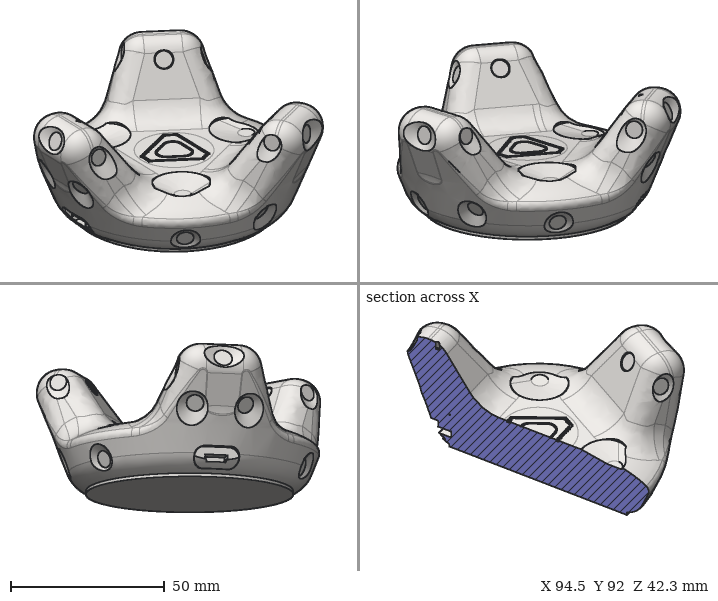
import cadquery as cq
import math

HEIGHT = 42.3

WALL_BASE_RADIUS = 37.1
WALL_FLARE = 0.395
WALL_TANGENT_Z = 6.9
WALL_HEADROOM = 1.0
PLATE_RADIUS = 33.8
PLATE_THICKNESS = 0.5

DECK_Z = 20.5
DECK_FLAT_RADIUS = 13.0
DECK_SLOPE_POINT = (33.0, 19.1)
SHOULDER_POINT = (41.7, 15.2)
DECK_RIM_POINT = (50.0, -1.0)
DECK_RIM_DIRECTION = (0.3, -1)
DECK_SLAB_DEPTH = 10
DECK_RIM = DECK_RIM_POINT[0]

ARM_COUNT = 3
FRONT = -90
ARM_ANGLES = [FRONT + i * 360 / ARM_COUNT for i in range(ARM_COUNT)]
ARM_ROUND = 7.8
ARM_RIDGE_INNER = 41.0
ARM_RIDGE_OUTER = 42.0
ARM_RIDGE_HALF_WIDTH = 6.3
ARM_OUTWARD_TAPER = 0.1
ARM_FOOT_Z = 10.0
ARM_INNER_SLOPE = 0.695
ARM_SIDE_SLOPE = 0.30
ARM_BLEND_RADIUS = 13.5
SEAM_CLEARANCE = 0.001
SHOULDER_RADIUS = 2.5
SHOULDER_BOTTOM_Z = 9.0
SHOULDER_TOP_Z = 31.0
ON_WALL_TOLERANCE = 0.02

FLOOR_RADIUS = 2.8
TIP_DIMPLE_REACH = 47.4
TIP_FLOOR_RADIUS = 3.0
TIP_HALF_ANGLE = 63
DIMPLE_HALF_ANGLE = 58
DIMPLE_LENGTH = 4.0
WALL_DIMPLE_DEPTH = 1.65
FRONT_TIP = (37.0, 26)
REAR_TIP = (35.8, 8)
FRONT_FLANK = (39.6, 13.3, 34.2, 10)
REAR_FORWARD_FLANK = (40.8, 12.7, 37.0, 10)
REAR_BACKWARD_FLANK = (38.2, 13.5, 34.5, 20)
INNER_DIMPLE_REACH = 33.5
INNER_DIMPLE_Z = 36.9
INNER_TILT = 35
INNER_FLOOR_RADIUS = 2.9
INNER_HALF_ANGLE = 45
WALL_DIMPLES = (
    (11, 22.4, 7, -29),
    (60, 7.0, 0, -20),
    (100, 11.4, 7, -29),
    (137, 7.8, 0, -24),
)
DECK_DIMPLE_REACH = 28.9
DECK_DIMPLE_FLOOR_Z = 18.6
DECK_MOUTH_REACH = 24.8
DECK_MOUTH_WIDE = 19.0
DECK_MOUTH_DEEP = 16.6

BUTTON_FLAT = 7.87
BUTTON_CORNER = 11.7
BUTTON_GROOVE_WIDTH = 0.9
BUTTON_GROOVE_DEPTH = 0.5
GROOVE_CUT_HEIGHT = 1.0
BADGE_CORNER_REACH = 3.2
BADGE_CORNER_RADIUS = 3.4
BADGE_GROOVE_WIDTH = 0.45
BADGE_GROOVE_DEPTH = 0.2

RECESS_WIDTH = 15.1
RECESS_BOTTOM_Z = 2.3
RECESS_TOP_Z = 9.1
RECESS_CORNER = 3.3
RECESS_INSET = 0.5
RECESS_FLOOR_Y = -38.1
PORT_BOTTOM_Z = 4.3
PORT_MID_Z = 5.6
PORT_TOP_Z = 6.6
PORT_TOP_WIDTH = 7.6
PORT_BOTTOM_WIDTH = 6.3
PORT_DEPTH = 5.0

INDICATOR_RADIUS = 38.2
INDICATOR_DIAMETER = 1.3
INDICATOR_DEPTH = 3.0


def wall_radius(z):
    return WALL_BASE_RADIUS + WALL_FLARE * z


def polar(radius, degrees):
    return radius * math.cos(math.radians(degrees)), radius * math.sin(math.radians(degrees))


def turned(shape, degrees):
    return shape.rotate((0, 0, 0), (0, 0, 1), degrees)


def revolved(profile):
    return profile.close().revolve(360, (0, 0, 0), (0, 1, 0))


def flared_cone(inset=0):
    """Flared cone with a rounded lower edge; inset shrinks it all round."""
    lean = math.atan(WALL_FLARE)
    edge_run = (WALL_TANGENT_Z - PLATE_THICKNESS) / math.cos(lean)
    edge_radius = edge_run * math.tan(math.pi / 4 + lean / 2)
    centre_r = wall_radius(PLATE_THICKNESS) - edge_run
    centre_z = PLATE_THICKNESS + edge_radius
    arc_radius = edge_radius - inset
    mid_drop = math.pi / 4 - lean / 2
    start = (centre_r, centre_z - arc_radius)
    middle = (
        centre_r + arc_radius * math.cos(mid_drop),
        centre_z - arc_radius * math.sin(mid_drop),
    )
    end = (centre_r + arc_radius * math.cos(lean), centre_z - arc_radius * math.sin(lean))
    top = HEIGHT + WALL_HEADROOM
    return revolved(
        cq.Workplane("XZ")
        .moveTo(0, start[1])
        .lineTo(*start)
        .threePointArc(middle, end)
        .lineTo(end[0] + WALL_FLARE * (top - end[1]), top)
        .lineTo(0, top)
    )


def deck():
    """Oversized domed slab whose rim lies outside the wall."""
    slab_bottom = DECK_RIM_POINT[1] - DECK_SLAB_DEPTH
    return revolved(
        cq.Workplane("XZ")
        .moveTo(0, slab_bottom)
        .lineTo(0, DECK_Z)
        .lineTo(DECK_FLAT_RADIUS, DECK_Z)
        .spline(
            [DECK_SLOPE_POINT, SHOULDER_POINT, DECK_RIM_POINT],
            tangents=[(1, 0), DECK_RIM_DIRECTION],
            includeCurrent=True,
        )
        .lineTo(DECK_RIM, slab_bottom)
    )


def arm():
    """Upright arm reaching along +X."""
    drop = HEIGHT - ARM_ROUND - ARM_FOOT_Z

    def section(below_ridge):
        inner = ARM_RIDGE_INNER - ARM_INNER_SLOPE * below_ridge
        outer = ARM_RIDGE_OUTER - WALL_FLARE * below_ridge
        mid_half_width = ARM_RIDGE_HALF_WIDTH + ARM_SIDE_SLOPE * below_ridge
        inner_half_width = mid_half_width + ARM_OUTWARD_TAPER * (ARM_RIDGE_INNER - inner)
        outer_half_width = mid_half_width + ARM_OUTWARD_TAPER * (ARM_RIDGE_INNER - outer)
        return [
            (inner, -inner_half_width),
            (outer, -outer_half_width),
            (outer, outer_half_width),
            (inner, inner_half_width),
        ]

    core = (
        cq.Workplane("XY", origin=(0, 0, ARM_FOOT_Z))
        .polyline(section(drop))
        .close()
        .workplane(offset=drop)
        .polyline(section(0))
        .close()
        .loft(ruled=True)
    )
    skin = core.val().shell([], ARM_ROUND)
    return core.union(cq.Workplane(skin))


def on_shoulder(edge):
    """True for an edge that runs along the wall where the deck and the arm flanks meet it."""
    box = edge.BoundingBox()
    if box.zmin < SHOULDER_BOTTOM_Z or box.zmax > SHOULDER_TOP_Z:
        return False
    points = [edge.positionAt(i / 3) for i in range(4)]
    return all(abs(math.hypot(p.x, p.y) - wall_radius(p.z)) < ON_WALL_TOLERANCE for p in points)


def body():
    """Deck and arms blended together, trimmed by the flared wall and set on the plate."""
    upright = arm()
    shape = deck()
    for angle in ARM_ANGLES:
        shape = shape.union(turned(upright, angle))
    reach = DECK_RIM - SEAM_CLEARANCE
    junction_zone = cq.selectors.BoxSelector(
        (-reach, -reach, 0), (reach, reach, DECK_Z - SEAM_CLEARANCE), boundingbox=True
    )
    shape = shape.edges(junction_zone).fillet(ARM_BLEND_RADIUS)
    plate = cq.Workplane("XY").circle(PLATE_RADIUS).extrude(WALL_TANGENT_Z)
    shape = shape.intersect(flared_cone().union(plate))
    shoulder = shape.edges().filter(on_shoulder)
    return shoulder.fillet(SHOULDER_RADIUS)


def dimple(
    centre,
    facing,
    tilt,
    floor_radius=FLOOR_RADIUS,
    half_angle=DIMPLE_HALF_ANGLE,
    length=DIMPLE_LENGTH,
):
    """Conical cutter from a floor centre (radius, angle, z), facing and tilted up in degrees."""
    radius, angle, z = centre
    level, rise = polar(1, tilt)
    mouth_radius = floor_radius + length * math.tan(math.radians(half_angle))
    cone = cq.Solid.makeCone(
        floor_radius,
        mouth_radius,
        length,
        cq.Vector(*polar(radius, angle), z),
        cq.Vector(*polar(level, facing), rise),
    )
    return cq.Workplane(cone)


def flank_dimple(arm_angle, side, along, across, z, tilt):
    """Dimple on one flank of an arm: along the arm's reach, then across to its side."""
    radius = math.hypot(along, across)
    angle = arm_angle + side * math.degrees(math.atan2(across, along))
    return dimple((radius, angle, z), arm_angle + 90 * side, tilt, half_angle=TIP_HALF_ANGLE)


def tip_dimple(arm_angle, z, tilt):
    """Dimple on the outer side of an arm tip."""
    centre = (TIP_DIMPLE_REACH, arm_angle, z)
    return dimple(centre, arm_angle, tilt, TIP_FLOOR_RADIUS, TIP_HALF_ANGLE)


def inner_dimple(arm_angle):
    """Dimple on the side of an arm that looks over the deck."""
    centre = (INNER_DIMPLE_REACH, arm_angle, INNER_DIMPLE_Z)
    return dimple(centre, arm_angle + 180, INNER_TILT, INNER_FLOOR_RADIUS, INNER_HALF_ANGLE)


def arm_dimples():
    """Dimples on the tips and flanks; the two rear arms also carry one on the inner side."""
    front, *rear = ARM_ANGLES
    cutters = [tip_dimple(front, *FRONT_TIP)]
    for side in (-1, 1):
        cutters.append(flank_dimple(front, side, *FRONT_FLANK))
    for angle in rear:
        forward = -1 if math.cos(math.radians(angle)) > 0 else 1
        cutters.append(tip_dimple(angle, *REAR_TIP))
        cutters.append(flank_dimple(angle, forward, *REAR_FORWARD_FLANK))
        cutters.append(flank_dimple(angle, -forward, *REAR_BACKWARD_FLANK))
        cutters.append(inner_dimple(angle))
    return cutters


def deck_dimples():
    """Wide shallow dimples in the deck, one opposite each arm, sloping up towards the middle."""
    depth = DECK_Z - DECK_DIMPLE_FLOOR_Z
    bowl = (
        cq.Workplane("XY", origin=(DECK_DIMPLE_REACH, 0, DECK_DIMPLE_FLOOR_Z))
        .circle(FLOOR_RADIUS)
        .workplane(offset=depth)
        .center(DECK_MOUTH_REACH - DECK_DIMPLE_REACH, 0)
        .ellipse(DECK_MOUTH_DEEP / 2, DECK_MOUTH_WIDE / 2)
        .loft(ruled=True)
    )
    bank = (
        cq.Workplane("XY", origin=(DECK_MOUTH_REACH, 0, DECK_Z))
        .ellipse(DECK_MOUTH_DEEP / 2, DECK_MOUTH_WIDE / 2)
        .extrude(DIMPLE_LENGTH)
    )
    return [turned(bowl.union(bank), angle + 180) for angle in ARM_ANGLES]


def wall_dimples():
    """Mirrored pairs round the wall, facing slightly down."""
    cutters = []
    for side in (-1, 1):
        for away, z, turn, tilt in WALL_DIMPLES:
            angle = FRONT + side * away
            centre = (wall_radius(z) - WALL_DIMPLE_DEPTH, angle, z)
            cutters.append(dimple(centre, angle + side * turn, tilt))
    return cutters


def button_grooves():
    """Groove round a triangle with cut corners, and a finer rounded one inside it."""

    def cut_triangle(inset):
        flat = BUTTON_FLAT - inset
        corner = BUTTON_CORNER - inset
        half_cut = (2 * flat - corner) / math.sqrt(3)
        points = []
        for angle in ARM_ANGLES:
            x, y = polar(corner, angle)
            dx, dy = polar(half_cut, angle + 90)
            points += [(x - dx, y - dy), (x + dx, y + dy)]
        plane = cq.Workplane("XY", origin=(0, 0, DECK_Z - BUTTON_GROOVE_DEPTH))
        return plane.polyline(points).close()

    def badge(inset):
        corners = [polar(BADGE_CORNER_REACH, angle) for angle in ARM_ANGLES]
        plane = cq.Workplane("XY", origin=(0, 0, DECK_Z - BADGE_GROOVE_DEPTH))
        return plane.polyline(corners).close().offset2D(BADGE_CORNER_RADIUS - inset)

    def groove(outline, width):
        outer = outline(0).extrude(GROOVE_CUT_HEIGHT)
        return outer.cut(outline(width).extrude(GROOVE_CUT_HEIGHT))

    return [groove(cut_triangle, BUTTON_GROOVE_WIDTH), groove(badge, BADGE_GROOVE_WIDTH)]


def connector_recess():
    """Shallow rounded recess following the wall, with a flat upper floor and a port."""
    slot_height = RECESS_TOP_Z - RECESS_BOTTOM_Z
    mid_z = (RECESS_TOP_Z + RECESS_BOTTOM_Z) / 2
    slot = (
        cq.Workplane("XZ", origin=(0, 0, mid_z))
        .rect(RECESS_WIDTH, slot_height)
        .extrude(DECK_RIM)
        .edges("|Y")
        .fillet(RECESS_CORNER)
    )
    below_wall = slot.cut(flared_cone(RECESS_INSET))
    beyond_floor = slot.intersect(
        cq.Workplane("XZ", origin=(0, RECESS_FLOOR_Y, mid_z))
        .rect(RECESS_WIDTH, slot_height)
        .extrude(DECK_RIM)
    )
    port = (
        cq.Workplane("XZ", origin=(0, RECESS_FLOOR_Y + PORT_DEPTH, 0))
        .polyline(
            [
                (-PORT_BOTTOM_WIDTH / 2, PORT_BOTTOM_Z),
                (PORT_BOTTOM_WIDTH / 2, PORT_BOTTOM_Z),
                (PORT_TOP_WIDTH / 2, PORT_MID_Z),
                (PORT_TOP_WIDTH / 2, PORT_TOP_Z),
                (-PORT_TOP_WIDTH / 2, PORT_TOP_Z),
                (-PORT_TOP_WIDTH / 2, PORT_MID_Z),
            ]
        )
        .close()
        .extrude(DECK_RIM)
    )
    return [below_wall, beyond_floor, port]


def indicator_hole():
    centre = polar(INDICATOR_RADIUS, FRONT)
    return (
        cq.Workplane("XY", origin=(*centre, HEIGHT - INDICATOR_DEPTH))
        .circle(INDICATOR_DIAMETER / 2)
        .extrude(INDICATOR_DEPTH)
    )


cutters = arm_dimples() + deck_dimples() + wall_dimples()
cutters += button_grooves() + connector_recess() + [indicator_hole()]

result = body()
for cutter in cutters:
    result = result.cut(cutter)